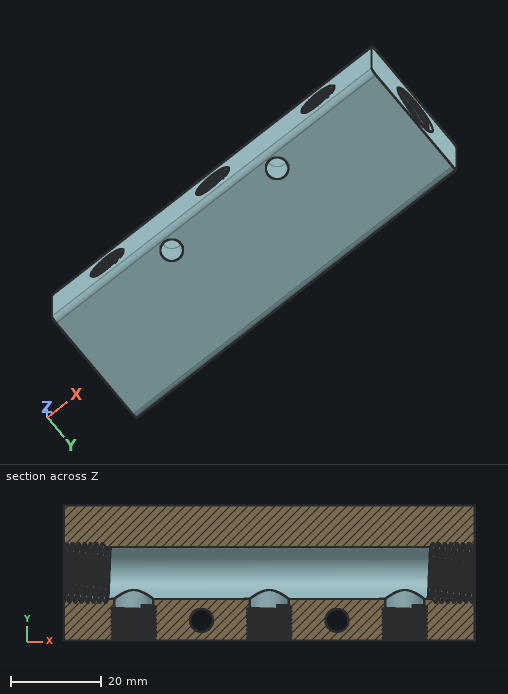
import cadquery as cq
import math

LENGTH = 91.0
DEPTH = 30.0
HEIGHT = 20.0
EDGE_RADIUS = 1.5

MAIN_MAJOR = 13.157
MAIN_MINOR = 11.445
MAIN_PITCH = 1.337
MAIN_THREAD_LENGTH = 10.5
MAIN_START_ANGLE = -75.0

PORT_MAJOR = 9.728
PORT_MINOR = 8.566
PORT_PITCH = 0.907
PORT_THREAD_LENGTH = 8.0
PORT_START_ANGLE = -65.0
PORT_COUNT = 3
PORT_SPACING = 30.0

MOUNT_COUNT = PORT_COUNT - 1
MOUNT_DIAMETER = 5.0
MOUNT_EDGE_DISTANCE = 4.5

FLANK_ANGLE = 27.5
ROOT_FLAT_RATIO = 1 / 8
BORE_OVERLAP = 0.1


def row_positions(count, spacing):
    """X places of an evenly spaced row centred on the origin."""
    return [(i - (count - 1) / 2) * spacing for i in range(count)]


def thread_cutter(major, minor, pitch, length, start_angle):
    """Right-hand helical groove about Z, centred one pitch below Z = 0 at its start, ending at Z = length."""
    root_radius = major / 2
    inner_radius = minor / 2 - BORE_OVERLAP
    root_half = ROOT_FLAT_RATIO * pitch / 2
    mouth_half = root_half + (root_radius - inner_radius) * math.tan(math.radians(FLANK_ANGLE))
    groove = (
        cq.Workplane("XZ")
        .polyline(
            [
                (inner_radius, -mouth_half),
                (root_radius, -root_half),
                (root_radius, root_half),
                (inner_radius, mouth_half),
            ]
        )
        .close()
    )
    helix_height = length + pitch - mouth_half
    helix = cq.Wire.makeHelix(pitch, helix_height, minor / 2)
    return (
        groove.sweep(cq.Workplane(obj=helix), isFrenet=True)
        .translate((0, 0, -pitch))
        .rotate((0, 0, 0), (0, 0, 1), start_angle)
    )


def make_block():
    return cq.Workplane("XY").box(LENGTH, DEPTH, HEIGHT).edges("|X").fillet(EDGE_RADIUS)


def cut_main_bore(body):
    bore = cq.Workplane("YZ", origin=(-LENGTH / 2, 0, 0)).circle(MAIN_MINOR / 2).extrude(LENGTH)
    body = body.cut(bore)
    thread = (
        thread_cutter(MAIN_MAJOR, MAIN_MINOR, MAIN_PITCH, MAIN_THREAD_LENGTH, MAIN_START_ANGLE)
        .rotate((0, 0, 0), (0, 1, 0), 90)
        .translate((-LENGTH / 2, 0, 0))
    )
    for turn in (0, 180):
        body = body.cut(thread.rotate((0, 0, 0), (0, 0, 1), turn))
    return body


def cut_ports(body):
    bore = cq.Workplane("XZ").circle(PORT_MINOR / 2).extrude(DEPTH / 2)
    thread = (
        thread_cutter(PORT_MAJOR, PORT_MINOR, PORT_PITCH, PORT_THREAD_LENGTH, PORT_START_ANGLE)
        .rotate((0, 0, 0), (1, 0, 0), -90)
        .translate((0, -DEPTH / 2, 0))
    )
    for x in row_positions(PORT_COUNT, PORT_SPACING):
        body = body.cut(bore.translate((x, 0, 0))).cut(thread.translate((x, 0, 0)))
    return body


def cut_mounting_holes(body):
    y = -DEPTH / 2 + MOUNT_EDGE_DISTANCE
    places = [(x, y) for x in row_positions(MOUNT_COUNT, PORT_SPACING)]
    holes = cq.Workplane("XY").pushPoints(places).circle(MOUNT_DIAMETER / 2).extrude(HEIGHT / 2, both=True)
    return body.cut(holes)


result = cut_mounting_holes(cut_ports(cut_main_bore(make_block())))